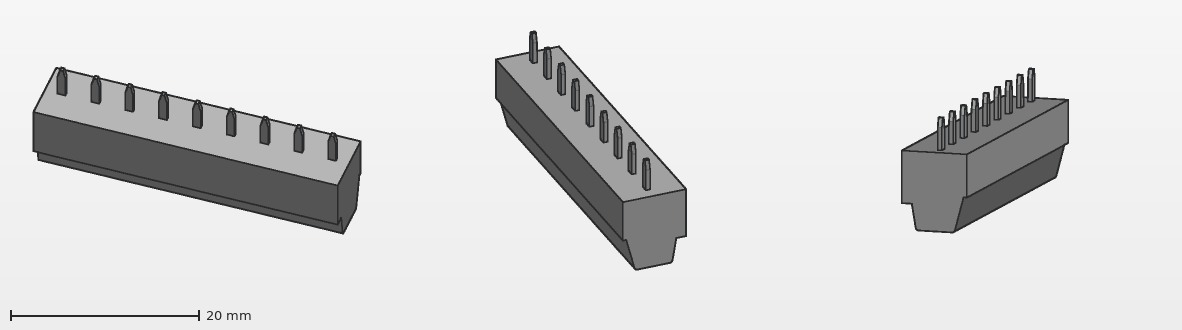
import cadquery as cq

length = 34.3
depth = 7.3
housing_height = 8.55
total_height = 12.0

back_wall_height = 4.65
front_wall_height = 5.7
back_ledge = 0.38
front_ledge = 1.13
base_back_inset = 1.4
base_front_inset = 1.6
base_edge_radius = 0.35

pin_count = 9
pin_pitch = length / pin_count
pin_width = 0.9
pin_thickness = 0.48
pin_y = 0.15
pin_tip_width = 0.38
pin_tip_height = 1.0


def make_housing():
    """Extrude the stepped, tapered cross-section along X."""
    back = depth / 2
    front = -depth / 2
    back_ledge_z = housing_height - back_wall_height
    front_ledge_z = housing_height - front_wall_height
    housing = (
        cq.Workplane("YZ", origin=(-length / 2, 0, 0))
        .moveTo(front, housing_height)
        .lineTo(back, housing_height)
        .lineTo(back, back_ledge_z)
        .lineTo(back - back_ledge, back_ledge_z)
        .lineTo(back - base_back_inset, 0)
        .lineTo(front + base_front_inset, 0)
        .lineTo(front + front_ledge, front_ledge_z)
        .lineTo(front, front_ledge_z)
        .close()
        .extrude(length)
    )
    return housing.faces("<Z").edges("|X").fillet(base_edge_radius)


def make_pin(x):
    """Flat pin standing on the housing, its two narrow sides tapered at the tip."""
    half_width = pin_width / 2
    half_tip = pin_tip_width / 2
    shoulder_z = total_height - pin_tip_height
    return (
        cq.Workplane("XZ", origin=(x, pin_y, 0))
        .moveTo(-half_width, housing_height)
        .lineTo(-half_width, shoulder_z)
        .lineTo(-half_tip, total_height)
        .lineTo(half_tip, total_height)
        .lineTo(half_width, shoulder_z)
        .lineTo(half_width, housing_height)
        .close()
        .extrude(pin_thickness / 2, both=True)
    )


result = make_housing()
for index in range(pin_count):
    pin_x = (index - (pin_count - 1) / 2) * pin_pitch
    result = result.union(make_pin(pin_x))